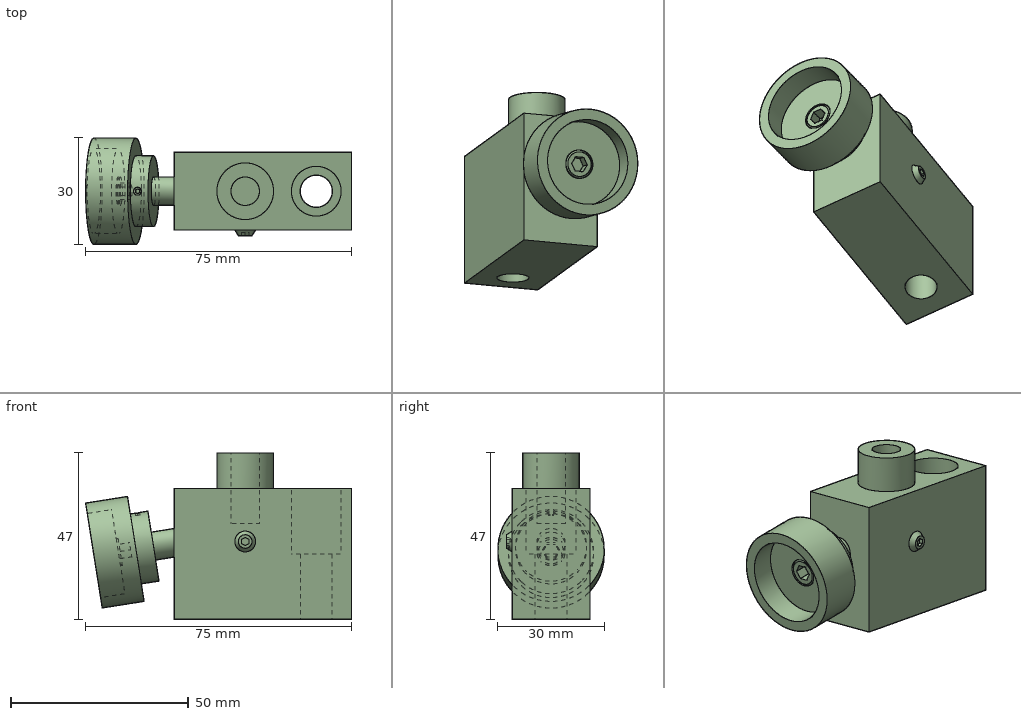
import cadquery as cq
import math


block_length = 50.05
block_width = 22.0
block_height = 37.0
boss_x = 20.0
boss_diameter = 16.0
boss_height = 10.0
boss_bore_diameter = 8.0
boss_bore_depth = 2 * boss_height
bore_x = 2 * boss_x
bore_diameter = 9.0
counterbore_diameter = 14.0
counterbore_depth = block_height / 2

screw_z = -15.0
screw_base_diameter = 5.85
screw_tip_diameter = 3.8
screw_height = 1.6
screw_socket_flats = 2.0
screw_socket_depth = 1.0

tilt = 9.0
knob_diameter = 30.0
knob_length = 12.0
rim_overhang = 25.0
recess_diameter = 24.0
recess_depth = 7.0
collar_diameter = 20.0
collar_length = 5.0
spindle_diameter = 8.0
spindle_entry_z = -15.4
spindle_chamfer = 0.5
spindle_socket_flats = 4.05
spindle_socket_depth = 3.5

set_screw_diameter = 2.25
set_screw_position = 2.0
set_screw_sink = 0.2
set_screw_socket_flats = 1.2
set_screw_socket_depth = 0.5

tilt_angle = math.radians(tilt)
knob_face_x = knob_diameter / 2 * math.sin(tilt_angle) - rim_overhang
knob_face_z = spindle_entry_z + knob_face_x * math.tan(tilt_angle)
axis_direction = cq.Vector(math.cos(tilt_angle), 0, math.sin(tilt_angle))


def hexagon_diameter(flats):
    """Diameter through the corners of a hexagon of the given width across flats."""
    return flats / math.cos(math.pi / 6)


def along_axis(distance):
    """Workplane across the spindle axis, at a distance from the knob's outer face."""
    origin = cq.Vector(knob_face_x, 0, knob_face_z) + axis_direction * distance
    return cq.Workplane(cq.Plane(origin, xDir=(0, 1, 0), normal=axis_direction))


def make_block():
    return cq.Workplane("XY").box(
        block_length, block_width, block_height, centered=(False, True, False)
    ).translate((0, 0, -block_height))


def make_screw_head():
    head_plane = cq.Plane((boss_x, -block_width / 2, screw_z), xDir=(1, 0, 0), normal=(0, -1, 0))
    head = (
        cq.Workplane(head_plane)
        .circle(screw_base_diameter / 2)
        .workplane(offset=screw_height)
        .circle(screw_tip_diameter / 2)
        .loft()
    )
    socket = (
        cq.Workplane(head_plane)
        .workplane(offset=screw_height)
        .transformed(rotate=(0, 0, 90))
        .polygon(6, hexagon_diameter(screw_socket_flats))
        .extrude(-screw_socket_depth)
    )
    return head.cut(socket)


def make_housing():
    boss = cq.Workplane("XY").center(boss_x, 0).circle(boss_diameter / 2).extrude(boss_height)
    boss_bore = (
        cq.Workplane("XY", origin=(boss_x, 0, boss_height))
        .circle(boss_bore_diameter / 2)
        .extrude(-boss_bore_depth)
    )
    stepped_block = (
        make_block()
        .faces(">Z")
        .workplane(origin=(bore_x, 0, 0))
        .cboreHole(bore_diameter, counterbore_diameter, counterbore_depth)
    )
    return stepped_block.union(boss).cut(boss_bore).union(make_screw_head())


def make_spindle():
    """Spindle from the recessed knob floor to the block, cut flush with its -X face."""
    start = recess_depth
    end = -knob_face_x / math.cos(tilt_angle) + spindle_diameter
    rod = (
        along_axis(start)
        .circle(spindle_diameter / 2)
        .extrude(end - start)
        .faces("<X")
        .chamfer(spindle_chamfer)
    )
    socket = (
        along_axis(start)
        .polygon(6, hexagon_diameter(spindle_socket_flats))
        .extrude(spindle_socket_depth)
    )
    return rod.cut(socket).cut(make_block())


def add_set_screw(knob):
    """Sink a flat-topped socket set screw into the collar."""
    radial = cq.Vector(-math.sin(tilt_angle), 0, math.cos(tilt_angle))
    axis_point = along_axis(knob_length + set_screw_position).plane.origin

    def at_radius(radius):
        return cq.Workplane(cq.Plane(axis_point + radial * radius, xDir=(0, 1, 0), normal=radial))

    screw_top = collar_diameter / 2 - set_screw_sink
    hole = at_radius(screw_top).circle(set_screw_diameter / 2).extrude(2 * set_screw_sink)
    socket = (
        at_radius(screw_top)
        .polygon(6, hexagon_diameter(set_screw_socket_flats))
        .extrude(-set_screw_socket_depth)
    )
    return knob.cut(hole).cut(socket)


def make_knob():
    rim = along_axis(0).circle(knob_diameter / 2).extrude(knob_length)
    recess = along_axis(0).circle(recess_diameter / 2).extrude(recess_depth)
    collar = along_axis(knob_length).circle(collar_diameter / 2).extrude(collar_length)
    spindle_bore = along_axis(0).circle(spindle_diameter / 2).extrude(knob_length + collar_length)
    knob = rim.cut(recess).union(collar).cut(spindle_bore).union(make_spindle())
    return add_set_screw(knob)


housing = make_housing()
knob = make_knob()

result = cq.Compound.makeCompound([housing.val(), knob.val()])